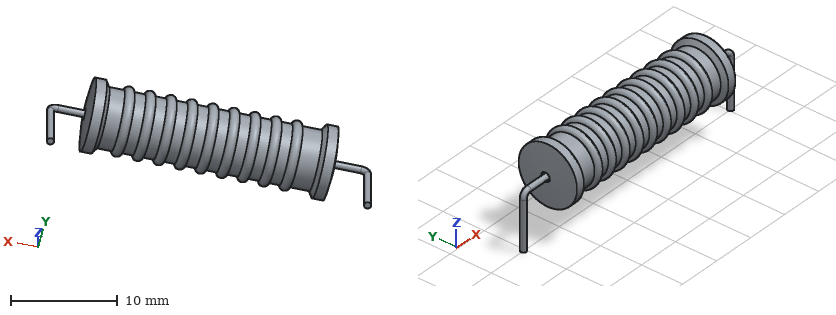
import cadquery as cq

lead_span = 31.18
wire_diameter = 0.7
bend_radius = 0.7
lead_tip_z = -6.65

body_diameter = 5.9
flange_diameter = 7.1
dome_apex_x = 12.0
flange_outer_x = 11.65
flange_inner_x = 10.63
flange_cone_x = 10.23

recess_diameter = 1.05
recess_floor_x = 11.85

ring_count = 9
last_ring_x = 8.3
first_ring_x = -7.85
ring_width = 1.0
ring_outer_radius = 3.37

wire_radius = wire_diameter / 2
body_radius = body_diameter / 2
flange_radius = flange_diameter / 2
ring_section_radius = ring_width / 2
ring_pitch = (last_ring_x - first_ring_x) / (ring_count - 1)
lead_x = lead_span / 2 - wire_radius


def make_body():
    """Spool with conical flange shoulders and shallow domed ends."""
    profile = (
        cq.Workplane("XY")
        .moveTo(-dome_apex_x, 0)
        .lineTo(dome_apex_x, 0)
        .radiusArc((flange_outer_x, flange_radius), -dome_sphere_radius())
        .lineTo(flange_inner_x, flange_radius)
        .lineTo(flange_cone_x, body_radius)
        .lineTo(-flange_cone_x, body_radius)
        .lineTo(-flange_inner_x, flange_radius)
        .lineTo(-flange_outer_x, flange_radius)
        .radiusArc((-dome_apex_x, 0), -dome_sphere_radius())
        .close()
    )
    return profile.revolve(360, (0, 0, 0), (1, 0, 0))


def dome_sphere_radius():
    """Radius of the sphere through the apex and the flange rim."""
    dome_height = dome_apex_x - flange_outer_x
    return (flange_radius**2 + dome_height**2) / (2 * dome_height)


def make_ring(x):
    """Torus around the body axis at position x."""
    centre_radius = ring_outer_radius - ring_section_radius
    section = cq.Workplane("XY").moveTo(x, centre_radius).circle(ring_section_radius)
    return section.revolve(360, (0, 0, 0), (1, 0, 0))


def make_recess(side):
    """Cutter for the recess at one end; side is -1 or 1."""
    depth = dome_apex_x - recess_floor_x
    floor = cq.Workplane("YZ", origin=(side * recess_floor_x, 0, 0))
    return floor.circle(recess_diameter / 2).extrude(side * depth)


def make_wire():
    """One continuous wire through the body, bent down at both ends."""
    path = (
        cq.Workplane("XZ")
        .moveTo(-lead_x, lead_tip_z)
        .lineTo(-lead_x, -bend_radius)
        .radiusArc((bend_radius - lead_x, 0), bend_radius)
        .lineTo(lead_x - bend_radius, 0)
        .radiusArc((lead_x, -bend_radius), bend_radius)
        .lineTo(lead_x, lead_tip_z)
    )
    section = cq.Workplane("XY", origin=(-lead_x, 0, lead_tip_z)).circle(wire_radius)
    return section.sweep(path)


result = make_body()
for ring_index in range(ring_count):
    result = result.union(make_ring(first_ring_x + ring_index * ring_pitch))
result = result.cut(make_recess(-1)).cut(make_recess(1))
result = result.union(make_wire())